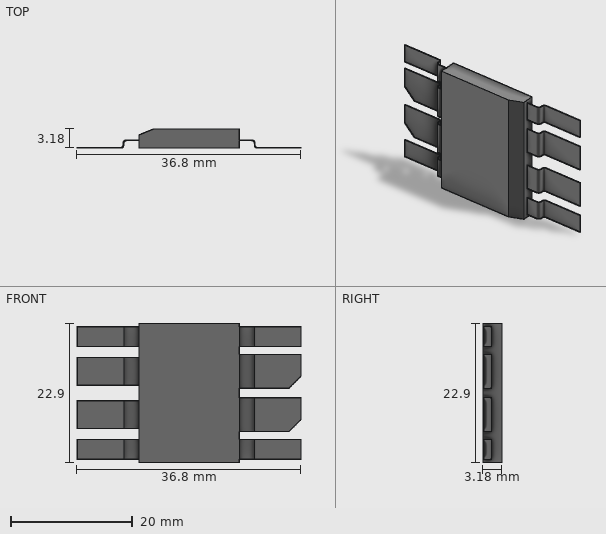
import cadquery as cq

BODY_WIDTH = 16.51
BODY_DEPTH = 3.18
BODY_HEIGHT = 22.86
BEVEL_WIDTH = 2.45
BEVEL_DEPTH = 1.0

OVERALL_WIDTH = 36.83
LEAD_THICKNESS = 0.15
LEAD_RISE = 1.38
SHOULDER_LENGTH = 2.0
BEND_RADIUS = 0.47

OUTER_LEAD_WIDTH = 3.302
OUTER_LEAD_OFFSET = 9.271
INNER_LEAD_OFFSET = 3.556
NARROW_INNER_WIDTH = 4.572
WIDE_INNER_WIDTH = 5.588
CORNER_CUT = 2.0

BODY_EDGE = BODY_WIDTH / 2
LEAD_TIP = OVERALL_WIDTH / 2


def make_body():
    """Plain block with one long bevel on its -X, +Y edge."""
    return (
        cq.Workplane("XY")
        .moveTo(-BODY_EDGE, 0)
        .lineTo(BODY_EDGE, 0)
        .lineTo(BODY_EDGE, BODY_DEPTH)
        .lineTo(-BODY_EDGE + BEVEL_WIDTH, BODY_DEPTH)
        .lineTo(-BODY_EDGE, BODY_DEPTH - BEVEL_DEPTH)
        .close()
        .extrude(BODY_HEIGHT / 2, both=True)
    )


def make_lead(width, center_z):
    """Bent strip leaving the +X side of the body, extruded along Z."""
    shoulder_end = BODY_EDGE + SHOULDER_LENGTH
    near_wall = shoulder_end + BEND_RADIUS
    far_wall = near_wall + LEAD_THICKNESS
    foot_start = near_wall + BEND_RADIUS
    shoulder_under = LEAD_RISE - LEAD_THICKNESS
    upper_bend_y = shoulder_under - BEND_RADIUS
    lower_bend_y = BEND_RADIUS
    return (
        cq.Workplane("XY", origin=(0, 0, center_z))
        .moveTo(BODY_EDGE, LEAD_RISE)
        .lineTo(shoulder_end, LEAD_RISE)
        .radiusArc((far_wall, upper_bend_y), BEND_RADIUS + LEAD_THICKNESS)
        .lineTo(far_wall, lower_bend_y)
        .radiusArc((foot_start, LEAD_THICKNESS), -(BEND_RADIUS - LEAD_THICKNESS))
        .lineTo(LEAD_TIP, LEAD_THICKNESS)
        .lineTo(LEAD_TIP, 0)
        .lineTo(foot_start, 0)
        .radiusArc((near_wall, lower_bend_y), BEND_RADIUS)
        .lineTo(near_wall, upper_bend_y)
        .radiusArc((shoulder_end, shoulder_under), -BEND_RADIUS)
        .lineTo(BODY_EDGE, shoulder_under)
        .close()
        .extrude(width / 2, both=True)
    )


def make_wide_lead(center_z):
    """Wide inner lead with its lower tip corner cut off."""
    lead = make_lead(WIDE_INNER_WIDTH, center_z)
    return lead.faces(">X").edges("<Z").chamfer(CORNER_CUT)


result = make_body()
for side in (-1, 1):
    outer_lead = make_lead(OUTER_LEAD_WIDTH, side * OUTER_LEAD_OFFSET)
    narrow_lead = make_lead(NARROW_INNER_WIDTH, side * INNER_LEAD_OFFSET)
    result = (
        result
        .union(outer_lead)
        .union(outer_lead.mirror("YZ"))
        .union(narrow_lead.mirror("YZ"))
        .union(make_wide_lead(side * INNER_LEAD_OFFSET))
    )